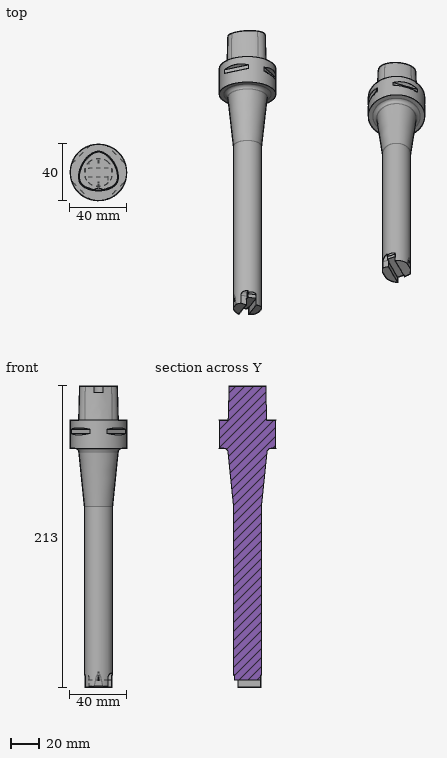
import cadquery as cq
import math

SHANK_HEIGHT = 24.0
FLANGE_THICKNESS = 20.0
BODY_TOP_Z = -61.0
TIP_Z = -189.0
FLANGE_Z = -FLANGE_THICKNESS

FLANGE_RADIUS = 20.0
NECK_RADIUS = 14.2
BODY_RADIUS = 10.0
NECK_FILLET = 2.8

SHANK_BASE_RADIUS = 14.05
SHANK_TOP_RADIUS = 13.4
LOBE_RISE = 1.0
LOBES = 3
SEGMENTS = 2 * LOBES
SEGMENT_ANGLE = 360.0 / SEGMENTS
SEGMENT_STEPS = 4

NOTCH_RADIUS = 5.0
NOTCH_FLOOR_Y = -11.1
NOTCH_DEPTH = 4.4

GROOVE_COUNT = 4
GROOVE_FIRST_ANGLE = 45.0
GROOVE_Z = -7.9
GROOVE_FLOOR_DISTANCE = 17.7
GROOVE_FLOOR_WIDTH = 2.8
GROOVE_MOUTH_WIDTH = 5.1

SLOT_HALF_WIDTH = 3.25
SLOT_HEIGHT = 5.3
SEAT_DISTANCE = 9.2
SEAT_WALL_HEIGHT = 8.1
SEAT_TOP_HEIGHT = 9.4
FLUTE_FLOOR_X = 6.8
FLUTE_OUTER_Y = 7.3
FLUTE_INNER_Y = 2.9
FLUTE_WALL_HEIGHT = 7.2
FLUTE_RADIUS = 3.3
TIP_RISE = 1.15
REAR_LEG_SETBACK = 0.3
FLAT_HEIGHT = 10.1
FLAT_TIP_DEPTH = 0.5
COOLANT_DIAMETER = 1.0
COOLANT_HEIGHT = 5.7
COOLANT_TILT = 60.0
COOLANT_LENGTH = 6.0

CLEARANCE = 2.0
CUT_REACH = BODY_RADIUS + CLEARANCE


def turned_body():
    """Flange, tapered neck and long cylindrical body as one revolution."""
    body = (
        cq.Workplane("XZ")
        .moveTo(0, 0)
        .lineTo(FLANGE_RADIUS, 0)
        .lineTo(FLANGE_RADIUS, FLANGE_Z)
        .lineTo(NECK_RADIUS, FLANGE_Z)
        .lineTo(BODY_RADIUS, BODY_TOP_Z)
        .lineTo(BODY_RADIUS, TIP_Z)
        .lineTo(0, TIP_Z)
        .close()
        .revolve(360, (0, 0), (0, 1))
    )
    neck_root = cq.selectors.BoxSelector(
        (-FLANGE_RADIUS, -FLANGE_RADIUS, FLANGE_Z - CLEARANCE),
        (FLANGE_RADIUS, FLANGE_RADIUS, FLANGE_Z + CLEARANCE),
        boundingbox=False,
    )
    return body.edges(neck_root).edges(cq.selectors.RadiusNthSelector(0)).fillet(NECK_FILLET)


def lobed_point(mean_radius, normal_angle, z):
    """Point of the constant-width outline whose outward normal has the given angle; a lobe faces +Y."""
    angle = math.radians(normal_angle)
    phase = LOBES * (angle - math.pi / 2)
    support = mean_radius + LOBE_RISE * math.cos(phase)
    slope = -LOBES * LOBE_RISE * math.sin(phase)
    x = support * math.cos(angle) - slope * math.sin(angle)
    y = support * math.sin(angle) + slope * math.cos(angle)
    return cq.Vector(x, y, z)


def lobed_wire(mean_radius, z):
    """Closed outline of alternating lobes and flanks, each one smooth curve."""
    edges = []
    for segment in range(SEGMENTS):
        start = segment * SEGMENT_ANGLE
        angles = [start + SEGMENT_ANGLE * step / SEGMENT_STEPS for step in range(SEGMENT_STEPS + 1)]
        points = [lobed_point(mean_radius, angle, z) for angle in angles]
        tangents = [
            cq.Vector(-math.sin(math.radians(angle)), math.cos(math.radians(angle)), 0)
            for angle in (angles[0], angles[-1])
        ]
        edges.append(cq.Edge.makeSpline(points, tangents=tangents))
    return cq.Wire.assembleEdges(edges)


def shank():
    """Tapered three-lobed shank with a scooped notch at its top rim."""
    base = lobed_wire(SHANK_BASE_RADIUS, 0)
    top = lobed_wire(SHANK_TOP_RADIUS, SHANK_HEIGHT)
    taper = cq.Workplane(obj=cq.Solid.makeLoft([base, top], True))
    notch = (
        cq.Workplane("XY", origin=(0, NOTCH_FLOOR_Y - NOTCH_RADIUS, SHANK_HEIGHT - NOTCH_DEPTH))
        .circle(NOTCH_RADIUS)
        .extrude(NOTCH_DEPTH + CLEARANCE)
    )
    return taper.cut(notch)


def gripper_groove(angle):
    """Straight trapezoidal groove across the flange rim, facing the given angle."""
    floor_half = GROOVE_FLOOR_WIDTH / 2
    mouth_half = GROOVE_MOUTH_WIDTH / 2
    return (
        cq.Workplane("XZ")
        .moveTo(GROOVE_FLOOR_DISTANCE, GROOVE_Z - floor_half)
        .lineTo(FLANGE_RADIUS, GROOVE_Z - mouth_half)
        .lineTo(FLANGE_RADIUS, GROOVE_Z + mouth_half)
        .lineTo(GROOVE_FLOOR_DISTANCE, GROOVE_Z + floor_half)
        .close()
        .extrude(FLANGE_RADIUS, both=True)
        .rotate((0, 0, 0), (0, 0, 1), angle)
    )


def cross_slot():
    """Slot along X through the tip."""
    return cq.Workplane("XY", origin=(0, 0, TIP_Z)).box(
        2 * CUT_REACH, 2 * SLOT_HALF_WIDTH, 2 * SLOT_HEIGHT
    )


def seat_relief():
    """Shallow recess above the slot on the +X side, with a sloped top."""
    top_at_reach = SEAT_WALL_HEIGHT + (SEAT_TOP_HEIGHT - SEAT_WALL_HEIGHT) * (
        (CUT_REACH - SEAT_DISTANCE) / (BODY_RADIUS - SEAT_DISTANCE)
    )
    return (
        cq.Workplane("XZ", origin=(0, 0, TIP_Z))
        .moveTo(SEAT_DISTANCE, 0)
        .lineTo(CUT_REACH, 0)
        .lineTo(CUT_REACH, top_at_reach)
        .lineTo(SEAT_DISTANCE, SEAT_WALL_HEIGHT)
        .close()
        .extrude(SLOT_HALF_WIDTH, both=True)
    )


def chip_flute():
    """Flute beside the slot on the +X, -Y side: flat floor running out in an arc."""
    run_out_x = FLUTE_FLOOR_X + FLUTE_RADIUS
    run_out_height = FLUTE_WALL_HEIGHT + FLUTE_RADIUS
    arc_offset = FLUTE_RADIUS * math.sqrt(0.5)
    arc_middle = (run_out_x - arc_offset, FLUTE_WALL_HEIGHT + arc_offset)
    return (
        cq.Workplane("XZ", origin=(0, -FLUTE_INNER_Y, TIP_Z))
        .moveTo(FLUTE_FLOOR_X, -CLEARANCE)
        .lineTo(FLUTE_FLOOR_X, FLUTE_WALL_HEIGHT)
        .threePointArc(arc_middle, (run_out_x, run_out_height))
        .lineTo(CUT_REACH, run_out_height)
        .lineTo(CUT_REACH, -CLEARANCE)
        .close()
        .extrude(FLUTE_OUTER_Y - FLUTE_INNER_Y)
    )


def tip_bevel():
    """Wedge that makes the -Y leg rise from the slot towards its outside."""
    rise_at_reach = TIP_RISE * (CUT_REACH - SLOT_HALF_WIDTH) / (BODY_RADIUS - SLOT_HALF_WIDTH)
    return (
        cq.Workplane("YZ", origin=(0, 0, TIP_Z))
        .moveTo(-SLOT_HALF_WIDTH, 0)
        .lineTo(-CUT_REACH, rise_at_reach)
        .lineTo(-CUT_REACH, -CLEARANCE)
        .lineTo(-SLOT_HALF_WIDTH, -CLEARANCE)
        .close()
        .extrude(CUT_REACH, both=True)
    )


def rear_leg_trim():
    """Raised bevel wedge that leaves the +Y leg slightly shorter than the -Y leg."""
    return tip_bevel().rotate((0, 0, 0), (0, 0, 1), 180).translate((0, 0, REAR_LEG_SETBACK))


def side_flat():
    """Slightly tilted flat on the -Y leg, deepest at the tip."""
    return (
        cq.Workplane("YZ", origin=(0, 0, TIP_Z))
        .moveTo(-BODY_RADIUS, FLAT_HEIGHT)
        .lineTo(-BODY_RADIUS + FLAT_TIP_DEPTH, 0)
        .lineTo(-CUT_REACH, 0)
        .lineTo(-CUT_REACH, FLAT_HEIGHT)
        .close()
        .extrude(CUT_REACH, both=True)
    )


def coolant_hole():
    """Small hole that enters the side flat and climbs steeply into the body."""
    tilt = math.radians(COOLANT_TILT)
    direction = cq.Vector(0, math.cos(tilt), math.sin(tilt))
    mouth = cq.Vector(0, -BODY_RADIUS, TIP_Z + COOLANT_HEIGHT)
    start = mouth - direction * CLEARANCE
    return cq.Workplane(
        obj=cq.Solid.makeCylinder(COOLANT_DIAMETER / 2, COOLANT_LENGTH + CLEARANCE, start, direction)
    )


tool = turned_body().union(shank())

for index in range(GROOVE_COUNT):
    tool = tool.cut(gripper_groove(GROOVE_FIRST_ANGLE + index * 360.0 / GROOVE_COUNT))

tool = tool.cut(cross_slot())
leg_cuts = (seat_relief(), chip_flute(), tip_bevel(), side_flat(), coolant_hole())
for half_turn in (0, 180):
    for cutter in leg_cuts:
        tool = tool.cut(cutter.rotate((0, 0, 0), (0, 0, 1), half_turn))

result = tool.cut(rear_leg_trim())